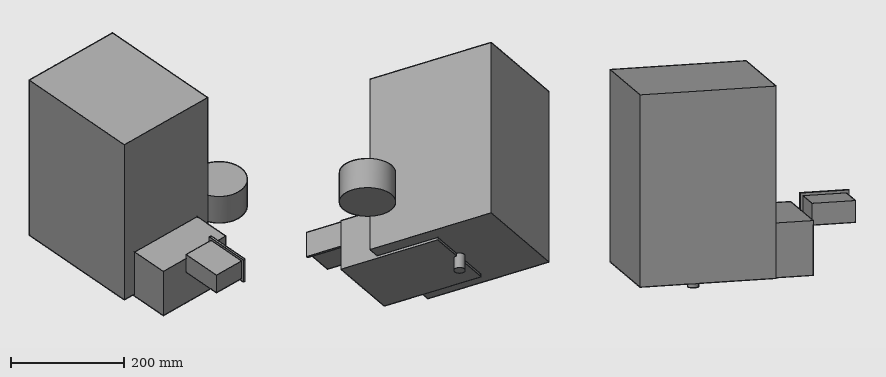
import cadquery as cq

overall_length = 420.0
overall_height = 380.0

cabinet_length = 250.0
cabinet_depth = 200.0
cabinet_base_z = 30.0
cabinet_height = overall_height - cabinet_base_z
cabinet_mid_x = cabinet_length / 2
cabinet_mid_y = cabinet_depth / 2

side_box_length = 200.0
side_box_depth = 150.0
side_box_height = 100.0
side_box_drop = 5.0
side_box_base_z = cabinet_base_z - side_box_drop

pin_diameter = 20.0
pin_length = cabinet_base_z

drum_diameter = 100.0
drum_height = 60.0
drum_base_z = 95.0
drum_mid_x = 225.0
drum_mid_y = cabinet_depth + drum_diameter / 2

plate_length = 90.0
plate_thickness = 4.0
plate_height = 50.0
plate_base_z = 100.0
block_length = 80.0
block_depth = 60.0
block_height = 40.0
block_front_y = 70.0
block_back_y = block_front_y + block_depth
unit_mid_x = overall_length - plate_length / 2
unit_mid_z = plate_base_z + plate_height / 2


def box_at(size, corner):
    """Box with the given (x, y, z) size and lowest corner."""
    return cq.Workplane("XY").box(*size, centered=False).translate(corner)


def cylinder_at(diameter, height, base_center):
    """Upright cylinder standing on the given base center."""
    return cq.Workplane("XY").circle(diameter / 2).extrude(height).translate(base_center)


def make_pin():
    return cylinder_at(pin_diameter, pin_length, (cabinet_mid_x, cabinet_mid_y, 0))


def side_box_envelope():
    """Plain side box, which is also the shape of its recess in the cabinet."""
    front_y = cabinet_mid_y - side_box_depth / 2
    return box_at(
        (side_box_length, side_box_depth, side_box_height),
        (cabinet_mid_x, front_y, side_box_base_z),
    )


def make_side_box():
    """Side box with a half-round notch that clears the pin."""
    return side_box_envelope().cut(make_pin())


def make_cabinet():
    """Cabinet with a recess that holds the side box."""
    body = box_at((cabinet_length, cabinet_depth, cabinet_height), (0, 0, cabinet_base_z))
    return body.cut(side_box_envelope())


def make_drum():
    return cylinder_at(drum_diameter, drum_height, (drum_mid_x, drum_mid_y, drum_base_z))


def make_unit_part(length, depth, height, front_y):
    """Box centered on the axis of the flanged unit in X and Z."""
    return box_at(
        (length, depth, height),
        (unit_mid_x - length / 2, front_y, unit_mid_z - height / 2),
    )


cabinet = make_cabinet()
side_box = make_side_box()
pin = make_pin()
drum = make_drum()
unit_block = make_unit_part(block_length, block_depth, block_height, block_front_y)
unit_plate = make_unit_part(plate_length, plate_thickness, plate_height, block_back_y)

result = cq.Compound.makeCompound([
    cabinet.val(),
    side_box.val(),
    pin.val(),
    drum.val(),
    unit_block.val(),
    unit_plate.val(),
])